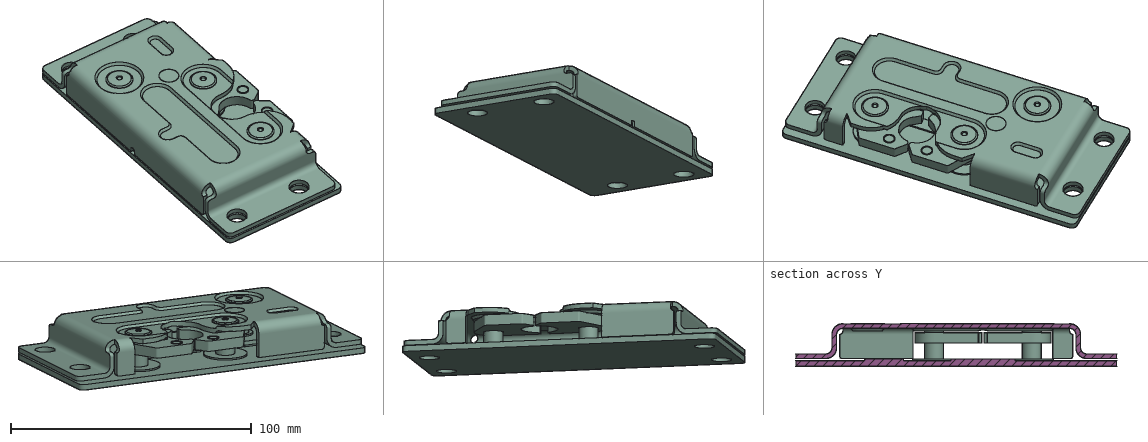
import cadquery as cq
import math

length = 133.4
width = 58.4
base_thickness = 2.4
corner_radius = 2.4
front_y = -width / 2

sheet = 2.0
cover_bottom = 3.2
cover_top = 17.7
cover_back_y = 26.1
bend_inner = 2.5
bend_outer = bend_inner + sheet
wall_outer_x = 51.6
skirt_half_length = 48.4
skirt_corner = 1.1
shoulder_fillet = 1.6
relief_fillet = 1.6
wall_bend_x = wall_outer_x - bend_outer
front_bend_y = front_y + bend_outer
back_bend_y = cover_back_y - bend_outer
bend_bottom = cover_top - bend_outer
sheet_bottom = cover_top - sheet

hole_x = 58.5
hole_ys = (12.5, -19.2)
hole_diameter = 8.3

catch_x = 11.1
pivot_y = 12.5
pivot_offset = 20.3
post_xy = (-30.0, -15.3)
pivot_points = [(catch_x - pivot_offset, pivot_y), (catch_x + pivot_offset, pivot_y)]
rivet_points = pivot_points + [post_xy]

recess_depth = 1.1
recess_taper = 38
pivot_recess_diameter = 18.4
post_recess_diameter = 20.3
window_length, window_width, window_y = 60.4, 14.0, -8.8
notch_width, notch_end_y, notch_fillet = 7.6, -24.1, 2.1
small_slot_length, small_slot_width = 13.9, 6.0
small_slot_xy = (-36.8, 10.8)

bell_radius = 8.7
bell_flare = 12.8
bell_flare_y = cover_back_y - bell_flare
mouth_left_x, mouth_right_x = -17.9, 40.0
mouth_chamfer = 3.7

rivet_head_diameter = 11.2
rivet_crown_diameter = 9.9
rivet_rim, rivet_crown_height, rivet_rise = 0.3, 0.7, 1.1
rivet_post_diameter = 8.0
dimple_diameter, dimple_floor_diameter, dimple_depth = 2.7, 1.9, 0.4

disc_diameter = 8.3
disc_top = 17.9
disc_xy = (-19.0, 2.0)
drain_x, drain_width, drain_height = -1.5, 2.4, 2.4
drain_depth, drain_fillet = 1.1, 0.7

pad_height = 0.7
pivot_pad_diameter = 18.1
post_pad_diameter = 11.3
rail_width = 5.6
post_rail_length, post_rail_y = 16.3, 2.4
catch_rail_length, catch_rail_y = 26.7, 1.1

jaw_bottom, jaw_top = 9.6, 14.0
jaw_hole_diameter = 8.3
jaw_boss_radius = 8.0
jaw_flank_angle = 28
jaw_corner = 1.0
mouth_diameter = 15.2
mouth_y = 15.2
jaw_outer_x, jaw_inner_x = 20.1, 4.0
jaw_nose_x, jaw_nose_y = 0.7, 24.8
jaw_nose_tip_x, jaw_nose_tip_y = 0.5, 23.3
jaw_lip_x, jaw_hook_x = 1.9, 4.0
jaw_tip_x, jaw_tip_y = 1.6, 7.0
jaw_heel_x, jaw_heel_y = 2.0, 4.1
ring_outer, ring_inner, ring_depth = 4.8, 4.3, 0.3
ring_offset, ring_y = 8.5, 24.4


def block(x0, x1, y0, y1, z0, z1):
    """Box between two opposite corners."""
    return cq.Workplane("XY").box(x1 - x0, y1 - y0, z1 - z0, centered=False).translate((x0, y0, z0))


def level(z):
    return cq.Workplane("XY").workplane(offset=z)


def make_base():
    base = block(-length / 2, length / 2, front_y, width / 2, 0, base_thickness)
    base = base.edges("|Z").fillet(corner_radius)
    pads = level(base_thickness).pushPoints(pivot_points).circle(pivot_pad_diameter / 2).extrude(pad_height)
    post_pad = level(base_thickness).center(*post_xy).circle(post_pad_diameter / 2).extrude(pad_height)
    pads = pads.union(post_pad)
    rails = [(post_xy[0], post_rail_y, post_rail_length), (catch_x, catch_rail_y, catch_rail_length)]
    for x, y, rail_length in rails:
        pads = pads.union(level(base_thickness).center(x, y).rect(rail_length, rail_width).extrude(pad_height))
    return base.union(pads)


def bend_arc(outline, centre, radius, middle_angle, end):
    """Add a quarter-circle bend to an outline."""
    angle = math.radians(middle_angle)
    middle = (centre[0] + radius * math.cos(angle), centre[1] + radius * math.sin(angle))
    return outline.threePointArc(middle, end)


def corner_relief(edge_y, bend_y):
    """Clearance at a +X corner where two bends meet, rounded where it runs up to each bend."""
    y0, y1 = sorted((edge_y, bend_y))
    relief = block(wall_bend_x, wall_outer_x, y0, y1, bend_bottom, cover_top)
    along_x = cq.selectors.NearestToPointSelector(((wall_bend_x + wall_outer_x) / 2, bend_y, bend_bottom))
    along_y = cq.selectors.NearestToPointSelector((wall_bend_x, (y0 + y1) / 2, bend_bottom))
    return relief.edges(cq.selectors.SumSelector(along_x, along_y)).fillet(relief_fillet)


def end_flange():
    """Bend, wall and foot at the +X end, across the full depth of the cover."""
    foot_top = cover_bottom + sheet
    wall_inner_x = wall_outer_x - sheet
    foot_bend_x = wall_outer_x + bend_inner
    foot_bend_z = foot_top + bend_inner
    top_centre = (wall_bend_x, bend_bottom)
    foot_centre = (foot_bend_x, foot_bend_z)
    outline = cq.Workplane("XZ").moveTo(wall_bend_x, cover_top)
    outline = bend_arc(outline, top_centre, bend_outer, 45, (wall_outer_x, bend_bottom))
    outline = outline.lineTo(wall_outer_x, foot_bend_z)
    outline = bend_arc(outline, foot_centre, bend_inner, 225, (foot_bend_x, foot_top))
    outline = outline.lineTo(length / 2, foot_top).lineTo(length / 2, cover_bottom)
    outline = outline.lineTo(foot_bend_x, cover_bottom)
    outline = bend_arc(outline, foot_centre, bend_outer, 225, (wall_inner_x, foot_bend_z))
    outline = outline.lineTo(wall_inner_x, bend_bottom)
    outline = bend_arc(outline, top_centre, bend_inner, 45, (wall_bend_x, sheet_bottom)).close()
    flange = outline.extrude(front_y - cover_back_y).translate((0, front_y, 0))
    flange = flange.edges("|Z and >X").fillet(corner_radius)
    flange = flange.cut(corner_relief(front_y, front_bend_y)).cut(corner_relief(cover_back_y, back_bend_y))
    for y in (front_y, cover_back_y):
        shoulder = cq.selectors.NearestToPointSelector((wall_outer_x - sheet / 2, y, bend_bottom))
        flange = flange.edges(shoulder).fillet(shoulder_fillet)
    return flange


def skirt(edge_y, bend_y):
    """Bend and side wall along a long edge of the cover; the outer face lies at edge_y."""
    side = math.copysign(1, edge_y - bend_y)
    middle_angle = 90 - 45 * side
    inner_y = edge_y - side * sheet
    outline = cq.Workplane("YZ").moveTo(bend_y, cover_top)
    outline = bend_arc(outline, (bend_y, bend_bottom), bend_outer, middle_angle, (edge_y, bend_bottom))
    outline = outline.lineTo(edge_y, cover_bottom).lineTo(inner_y, cover_bottom).lineTo(inner_y, bend_bottom)
    outline = bend_arc(outline, (bend_y, bend_bottom), bend_inner, middle_angle, (bend_y, sheet_bottom)).close()
    wall = outline.extrude(skirt_half_length, both=True)
    wall = wall.edges("|Y and <Z").fillet(skirt_corner)
    relief = corner_relief(edge_y, bend_y)
    return wall.cut(relief).cut(relief.mirror("YZ"))


def back_mouth():
    """Part of the top sheet that stays flat up to the back edge, with its slanting corners."""
    flat_left = mouth_left_x + mouth_chamfer
    flat_right = mouth_right_x - mouth_chamfer
    corners = [
        (mouth_left_x, back_bend_y),
        (flat_left, cover_back_y),
        (flat_right, cover_back_y),
        (mouth_right_x, back_bend_y),
    ]
    return level(sheet_bottom).polyline(corners).close().extrude(sheet)


def bell_cut():
    """Bell-shaped opening: a round bottom, straight sides and flared ends at the back edge."""
    left, right = catch_x - bell_radius, catch_x + bell_radius
    diagonal = bell_flare * math.sqrt(0.5)
    flare_left, flare_right = left - bell_flare, right + bell_flare
    outline = (
        level(sheet_bottom - recess_depth)
        .moveTo(left, pivot_y)
        .threePointArc((catch_x, pivot_y - bell_radius), (right, pivot_y))
        .lineTo(right, bell_flare_y)
        .threePointArc((flare_right - diagonal, bell_flare_y + diagonal), (flare_right, cover_back_y))
        .lineTo(flare_left, cover_back_y)
        .threePointArc((flare_left + diagonal, bell_flare_y + diagonal), (left, bell_flare_y))
        .close()
    )
    return outline.extrude(sheet + recess_depth)


def window_outline(plane):
    """Long slot with a short rounded notch in the middle of its front side."""
    end_radius = window_width / 2
    end_offset = window_length / 2 - end_radius
    left, right = catch_x - end_offset, catch_x + end_offset
    top, bottom = window_y + end_radius, window_y - end_radius
    notch_radius = notch_width / 2
    notch_left, notch_right = catch_x - notch_radius, catch_x + notch_radius
    notch_y = notch_end_y + notch_radius
    fillet_y = bottom - notch_fillet
    inset = notch_fillet * (1 - math.sqrt(0.5))
    return (
        plane.moveTo(left, top)
        .lineTo(right, top)
        .threePointArc((right + end_radius, window_y), (right, bottom))
        .lineTo(notch_right + notch_fillet, bottom)
        .threePointArc((notch_right + inset, bottom - inset), (notch_right, fillet_y))
        .lineTo(notch_right, notch_y)
        .threePointArc((catch_x, notch_end_y), (notch_left, notch_y))
        .lineTo(notch_left, fillet_y)
        .threePointArc((notch_left - inset, bottom - inset), (notch_left - notch_fillet, bottom))
        .lineTo(left, bottom)
        .threePointArc((left - end_radius, window_y), (left, top))
        .close()
    )


def pressings(z):
    """Tapered plugs of all the recesses, reaching down from height z."""
    pivot_slot_length = 2 * pivot_offset + pivot_recess_diameter
    outlines = [
        level(z).center(catch_x, pivot_y).slot2D(pivot_slot_length, pivot_recess_diameter),
        level(z).center(*post_xy).circle(post_recess_diameter / 2),
        level(z).center(*small_slot_xy).slot2D(small_slot_length, small_slot_width),
        window_outline(level(z)),
    ]
    return [outline.extrude(-recess_depth, taper=recess_taper) for outline in outlines]


def drain_notch():
    left = drain_x - drain_width / 2
    top = cover_bottom + drain_height
    notch = block(left, left + drain_width, front_y, front_y + drain_depth, cover_bottom, top)
    return notch.edges("|Y and >Z").fillet(drain_fillet)


def make_cover():
    cover = block(-wall_bend_x, wall_bend_x, front_bend_y, back_bend_y, sheet_bottom, cover_top)
    flange = end_flange()
    cover = cover.union(flange).union(flange.mirror("YZ"))
    mouth_gap = block(mouth_left_x, mouth_right_x, back_bend_y, cover_back_y, cover_bottom, cover_top)
    back_skirt = skirt(cover_back_y, back_bend_y).cut(mouth_gap)
    cover = cover.union(skirt(front_y, front_bend_y)).union(back_skirt).union(back_mouth())
    for plug in pressings(sheet_bottom):
        cover = cover.union(plug)
    for plug in pressings(cover_top):
        cover = cover.cut(plug)
    disc = level(cover_top).center(*disc_xy).circle(disc_diameter / 2).extrude(disc_top - cover_top)
    return cover.cut(bell_cut()).cut(drain_notch()).union(disc)


def make_rivet():
    """Domed head with a centre dimple, on a post that stands on the base plate."""
    seat = cover_top - recess_depth
    crown_z = seat + rivet_crown_height
    top_z = seat + rivet_rise
    head_radius = rivet_head_diameter / 2
    crown_radius = rivet_crown_diameter / 2
    dome_rise = rivet_rise - rivet_crown_height
    dome_radius = (crown_radius**2 + dome_rise**2) / (2 * dome_rise)
    middle_x = crown_radius / 2
    middle_z = top_z - dome_radius + math.sqrt(dome_radius**2 - middle_x**2)
    dimple_z = top_z - dimple_depth
    head = (
        cq.Workplane("XZ")
        .moveTo(0, seat)
        .lineTo(head_radius, seat)
        .lineTo(head_radius, seat + rivet_rim)
        .lineTo(crown_radius, crown_z)
        .threePointArc((middle_x, middle_z), (0, top_z))
        .close()
        .revolve(360, (0, 0), (0, 1))
    )
    dimple = level(dimple_z).circle(dimple_floor_diameter / 2)
    dimple = dimple.workplane(offset=dimple_depth).circle(dimple_diameter / 2).loft()
    post = level(base_thickness).circle(rivet_post_diameter / 2).extrude(seat - base_thickness)
    return head.cut(dimple).union(post)


def make_housing():
    housing = make_base().union(make_cover())
    for x, y in rivet_points:
        housing = housing.union(make_rivet().translate((x, y, 0)))
    holes = level(0).pushPoints([(x, y) for x in (-hole_x, hole_x) for y in hole_ys])
    return housing.cut(holes.circle(hole_diameter / 2).extrude(cover_top))


def make_jaw(side):
    """Jaw on one side of the mouth: -1 for the left one, +1 for the right one."""
    jaw_height = jaw_top - jaw_bottom
    mouth_radius = mouth_diameter / 2
    mouth_start_y = mouth_y + math.sqrt(mouth_radius**2 - jaw_lip_x**2)
    mouth_end_y = mouth_y - math.sqrt(mouth_radius**2 - jaw_hook_x**2)
    flank_angle = math.radians(jaw_flank_angle)
    flank_x = pivot_offset + jaw_boss_radius * math.cos(flank_angle)
    flank_y = pivot_y + jaw_boss_radius * math.sin(flank_angle)
    jaw = (
        level(jaw_bottom)
        .moveTo(side * jaw_outer_x, width / 2)
        .lineTo(side * jaw_inner_x, width / 2)
        .lineTo(side * jaw_nose_x, jaw_nose_y)
        .threePointArc((side * jaw_nose_tip_x, jaw_nose_tip_y), (side * jaw_lip_x, mouth_start_y))
        .threePointArc((side * mouth_radius, mouth_y), (side * jaw_hook_x, mouth_end_y))
        .lineTo(side * jaw_tip_x, jaw_tip_y)
        .lineTo(side * jaw_heel_x, jaw_heel_y)
        .lineTo(side * pivot_offset, pivot_y - jaw_boss_radius)
        .threePointArc((side * (pivot_offset + jaw_boss_radius), pivot_y), (side * flank_x, flank_y))
        .close()
        .extrude(jaw_height)
    )
    jaw = jaw.edges("|Z and >Y").fillet(jaw_corner)
    pivot_hole = level(jaw_bottom).center(side * pivot_offset, pivot_y).circle(jaw_hole_diameter / 2)
    ring = level(jaw_top).center(side * ring_offset, ring_y).circle(ring_outer / 2).circle(ring_inner / 2)
    jaw = jaw.cut(pivot_hole.extrude(jaw_height)).cut(ring.extrude(-ring_depth))
    return jaw.translate((catch_x, 0, 0))


housing = make_housing()
jaws = [make_jaw(side).val() for side in (-1, 1)]

result = cq.Compound.makeCompound([housing.val(), *jaws])